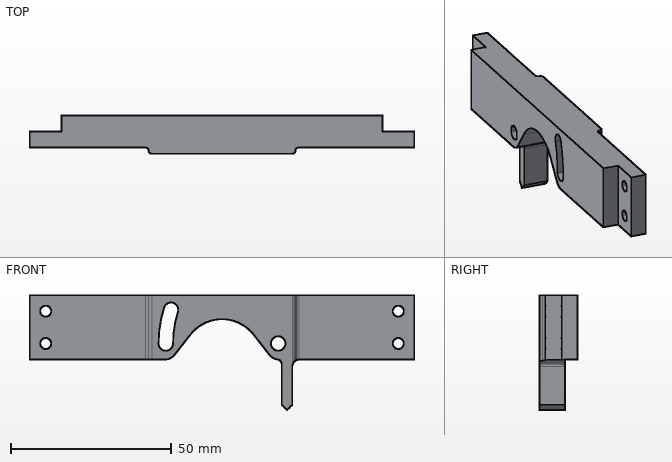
import cadquery as cq
import math

LENGTH = 120.0
DEPTH = 12.0
HEIGHT = 20.2
TOTAL_HEIGHT = 35.9
BACK_HALF_LENGTH = 50.0
TAB_BACK = 7.0

PAD_HEIGHT = 1.9
PAD_HALF_LENGTH = 22.9
PAD_ROUND = PAD_HEIGHT / 2

ARCH_TOP = 12.6
ARCH_RADIUS = 12.5
FOOT_RADIUS = 4.0
FOOT_X = 17.9

PIVOT_X = 17.5
PIVOT_Z = 5.0
PIVOT_DIAMETER = 4.5
SLOT_RADIUS = 2 * PIVOT_X
SLOT_ANGLE = math.radians(17.5)

MOUNT_X = 55.0
MOUNT_HEIGHTS = (PIVOT_Z, HEIGHT - PIVOT_Z)
MOUNT_DIAMETER = 3.4

TONGUE_WIDTH = 3.4
TONGUE_RIGHT = PAD_HALF_LENGTH - PAD_ROUND
TONGUE_LEFT = TONGUE_RIGHT - TONGUE_WIDTH
TONGUE_DEPTH = 8.0
TONGUE_TIP_Z = HEIGHT - TOTAL_HEIGHT
TONGUE_SHOULDER_Z = TONGUE_TIP_Z + TONGUE_WIDTH / 2
TONGUE_LEFT_FILLET = 1.5
TONGUE_RIGHT_FILLET = 2.0


def polar(center, radius, angle):
    """Point at the given angle on a circle in the XZ plane."""
    return (center[0] + radius * math.cos(angle), center[1] + radius * math.sin(angle))


def mirrored(point):
    return (-point[0], point[1])


def front_plane():
    """XZ workplane on the front face; positive extrusion runs toward -Y."""
    return cq.Workplane("XZ")


def bar_plan(bottom, top):
    """Stepped bar outline in XY, extruded between two heights."""
    half = LENGTH / 2
    step_x = PAD_HALF_LENGTH
    base_x = PAD_HALF_LENGTH + PAD_ROUND
    crown_x = PAD_HALF_LENGTH - PAD_ROUND
    right_half = (
        cq.Workplane("XY", origin=(0, 0, bottom))
        .lineTo(crown_x, 0)
        .radiusArc((step_x, PAD_ROUND), -PAD_ROUND)
        .radiusArc((base_x, PAD_HEIGHT), PAD_ROUND)
        .lineTo(half, PAD_HEIGHT)
        .lineTo(half, TAB_BACK)
        .lineTo(BACK_HALF_LENGTH, TAB_BACK)
        .lineTo(BACK_HALF_LENGTH, DEPTH)
        .lineTo(0, DEPTH)
        .close()
        .extrude(top - bottom)
    )
    return right_half.union(right_half.mirror("YZ"))


def arch_cutter():
    """Arch crown joined to two rounded feet by common tangent lines."""
    crown = (0, ARCH_TOP - ARCH_RADIUS)
    foot = (FOOT_X, FOOT_RADIUS)
    rise = foot[1] - crown[1]
    tangent_angle = math.atan2(rise, FOOT_X) + math.acos(
        (ARCH_RADIUS + FOOT_RADIUS) / math.hypot(FOOT_X, rise)
    )
    crown_end = polar(crown, ARCH_RADIUS, tangent_angle)
    foot_start = polar(foot, FOOT_RADIUS, tangent_angle + math.pi)
    foot_mid = polar(foot, FOOT_RADIUS, (tangent_angle + math.pi + 1.5 * math.pi) / 2)
    foot_end = (FOOT_X, 0)
    return (
        front_plane()
        .moveTo(*mirrored(foot_end))
        .threePointArc(mirrored(foot_mid), mirrored(foot_start))
        .lineTo(*mirrored(crown_end))
        .threePointArc((0, ARCH_TOP), crown_end)
        .lineTo(*foot_start)
        .threePointArc(foot_mid, foot_end)
        .close()
        .extrude(-DEPTH)
    )


def tongue():
    """Tongue with root fillets, trimmed at the front to the pad outline."""
    left_x = TONGUE_LEFT - TONGUE_LEFT_FILLET
    center_gap = FOOT_RADIUS + TONGUE_LEFT_FILLET
    left_center = (left_x, FOOT_RADIUS - math.sqrt(center_gap**2 - (FOOT_X - left_x) ** 2))
    contact_angle = math.atan2(FOOT_RADIUS - left_center[1], FOOT_X - left_x)
    foot_contact = polar(left_center, TONGUE_LEFT_FILLET, contact_angle)
    foot_bottom_angle = 1.5 * math.pi
    foot_mid_angle = (contact_angle + math.pi + foot_bottom_angle) / 2
    foot_mid = polar((FOOT_X, FOOT_RADIUS), FOOT_RADIUS, foot_mid_angle)
    blank = (
        front_plane()
        .moveTo(*foot_contact)
        .radiusArc((TONGUE_LEFT, left_center[1]), TONGUE_LEFT_FILLET)
        .lineTo(TONGUE_LEFT, TONGUE_SHOULDER_Z)
        .lineTo((TONGUE_LEFT + TONGUE_RIGHT) / 2, TONGUE_TIP_Z)
        .lineTo(TONGUE_RIGHT, TONGUE_SHOULDER_Z)
        .lineTo(TONGUE_RIGHT, -TONGUE_RIGHT_FILLET)
        .radiusArc((TONGUE_RIGHT + TONGUE_RIGHT_FILLET, 0), TONGUE_RIGHT_FILLET)
        .lineTo(FOOT_X, 0)
        .threePointArc(foot_mid, foot_contact)
        .close()
        .extrude(-TONGUE_DEPTH)
    )
    return blank.intersect(bar_plan(TONGUE_TIP_Z, HEIGHT))


def slot_cutter():
    """Round-ended slot following an arc about the pivot hole."""
    pivot = (PIVOT_X, PIVOT_Z)
    half_width = PIVOT_DIAMETER / 2
    inner = SLOT_RADIUS - half_width
    outer = SLOT_RADIUS + half_width
    low = math.pi
    high = math.pi - SLOT_ANGLE
    middle = (low + high) / 2
    return (
        front_plane()
        .moveTo(*polar(pivot, inner, low))
        .threePointArc(polar(pivot, inner, middle), polar(pivot, inner, high))
        .threePointArc(
            polar(polar(pivot, SLOT_RADIUS, high), half_width, high - math.pi / 2),
            polar(pivot, outer, high),
        )
        .threePointArc(polar(pivot, outer, middle), polar(pivot, outer, low))
        .threePointArc(
            (PIVOT_X - SLOT_RADIUS, PIVOT_Z - half_width),
            polar(pivot, inner, low),
        )
        .close()
        .extrude(-DEPTH)
    )


def hole_cutter(centers, diameter):
    return front_plane().pushPoints(centers).circle(diameter / 2).extrude(-DEPTH)


mount_centers = [(x, z) for x in (-MOUNT_X, MOUNT_X) for z in MOUNT_HEIGHTS]

result = (
    bar_plan(0, HEIGHT)
    .cut(arch_cutter())
    .union(tongue())
    .cut(slot_cutter())
    .cut(hole_cutter([(PIVOT_X, PIVOT_Z)], PIVOT_DIAMETER))
    .cut(hole_cutter(mount_centers, MOUNT_DIAMETER))
)